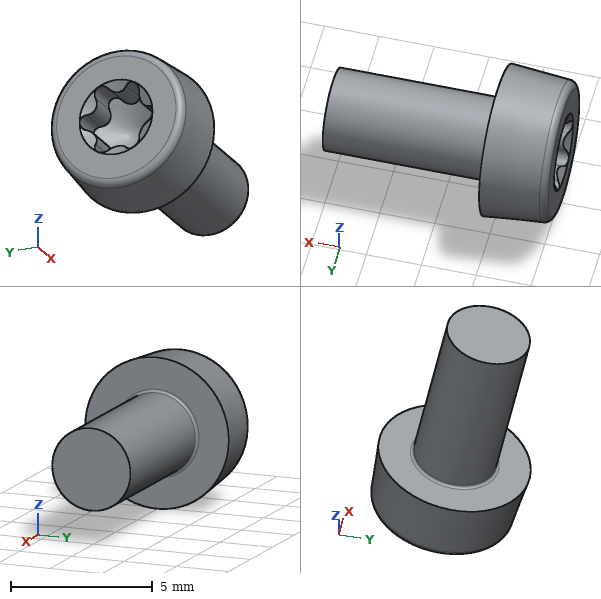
import cadquery as cq
import math

total_length = 8.4
head_height = 2.4
head_base_radius = 5.5 / 2
head_rim_radius = 2.57
rim_round_height = 0.26
rim_round_radius = 0.28
face_radius = 2.29
shank_radius = 3.0 / 2
neck_fillet = 0.1

lobe_count = 6
socket_tip_radius = 1.4
socket_valley_radius = 1.02
tip_arc_radius = 0.29
socket_depth = 1.26
lead_in_depth = 0.23
floor_cone_depth = 0.81


def make_body():
    """Revolve the tapered head and the shank about the X axis."""
    neck_end = head_height + neck_fillet
    profile = (
        cq.Workplane("XZ")
        .lineTo(0, face_radius)
        .radiusArc((rim_round_height, head_rim_radius), rim_round_radius)
        .lineTo(head_height, head_base_radius)
        .lineTo(head_height, shank_radius + neck_fillet)
        .radiusArc((neck_end, shank_radius), -neck_fillet)
        .lineTo(total_length, shank_radius)
        .lineTo(total_length, 0)
        .close()
    )
    return profile.revolve(360, (0, 0, 0), (1, 0, 0))


def make_cone(start_x, radius, depth):
    """Cone about X, widest at start_x and pointed at start_x + depth."""
    return (
        cq.Workplane("XZ")
        .moveTo(start_x, 0)
        .lineTo(start_x, radius)
        .lineTo(start_x + depth, 0)
        .close()
        .revolve(360, (0, 0, 0), (1, 0, 0))
    )


def polar(radius, angle):
    return (radius * math.cos(angle), radius * math.sin(angle))


def make_lobed_prism(start_x, length):
    """Six-lobe prism along X whose tip and valley arcs meet tangentially."""
    half_pitch = math.pi / lobe_count
    tip_center = socket_tip_radius - tip_arc_radius
    projected_center = tip_center * math.cos(half_pitch)
    valley_arc_radius = (
        tip_center**2
        + socket_valley_radius**2
        - tip_arc_radius**2
        - 2 * projected_center * socket_valley_radius
    ) / (2 * (tip_arc_radius + projected_center - socket_valley_radius))
    valley_center = polar(socket_valley_radius + valley_arc_radius, half_pitch)
    share = tip_arc_radius / (tip_arc_radius + valley_arc_radius)
    joint_u = tip_center + share * (valley_center[0] - tip_center)
    joint_v = share * valley_center[1]
    joint_radius = math.hypot(joint_u, joint_v)
    joint_angle = math.atan2(joint_v, joint_u)

    outline = cq.Workplane("YZ").moveTo(*polar(joint_radius, -joint_angle))
    for lobe in range(lobe_count):
        tip_angle = 2 * half_pitch * lobe
        valley_angle = tip_angle + half_pitch
        next_tip_angle = valley_angle + half_pitch
        outline = outline.threePointArc(
            polar(socket_tip_radius, tip_angle),
            polar(joint_radius, tip_angle + joint_angle),
        ).threePointArc(
            polar(socket_valley_radius, valley_angle),
            polar(joint_radius, next_tip_angle - joint_angle),
        )
    return outline.close().extrude(length).translate((start_x, 0, 0))


def make_socket():
    """Lobed recess with a conical lead-in and a conical floor."""
    lead_in_slope = lead_in_depth / (socket_tip_radius - socket_valley_radius)
    lead_in = make_cone(0, socket_tip_radius, socket_tip_radius * lead_in_slope)
    floor_envelope = make_cone(socket_depth, socket_tip_radius, floor_cone_depth)
    floor = make_lobed_prism(socket_depth, floor_cone_depth).intersect(floor_envelope)
    return make_lobed_prism(0, socket_depth).union(lead_in).union(floor)


result = make_body().cut(make_socket())